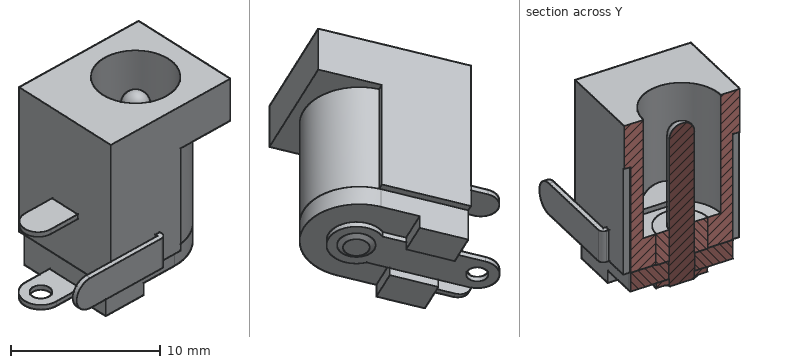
import cadquery as cq
import math


housing_width = 9.0
housing_half = housing_width / 2
housing_height = 12.0
front_y = -6.5
flange_back_y = 4.5
flange_height = 3.5
barrel_back_y = 3.79
shoulder_y = -0.09
bore_radius = 3.0
bore_floor_z = 5.0

base_width = 8.0
base_height = 2.5
foot_height = 1.0
foot_back_y = -3.0
top_z = base_height + housing_height

sheet = 0.4
tip_y = -10.2
lug_width = 2.5

bottom_lug_width = 3.0
bottom_lug_hole_radius = 0.75
eyelet_radius = 2.0

spring_top_z = 7.0
tongue_width = 4.0
tongue_bend_y = -3.23
tongue_tip_y = -2.0
tongue_slope = math.radians(45)

side_outer_x = 5.1
side_back_y = -2.0
side_inner_x = 2.5

pin_radius = 1.0
pin_top_z = 13.23
rivet_radius = 1.3
rivet_flat_radius = 0.9
rivet_height = 0.2
bushing_radius = 2.0


def block(x0, x1, y0, y1, z0, z1):
    """Box between opposite corners."""
    return cq.Workplane("XY").box(x1 - x0, y1 - y0, z1 - z0, centered=False).translate((x0, y0, z0))


def cylinder(radius, z0, z1):
    """Upright cylinder on the pin axis."""
    return cq.Workplane("XY").workplane(offset=z0).circle(radius).extrude(z1 - z0)


def round_backed_block(z0, z1):
    """Block as wide as the base, ending in a half cylinder at the back."""
    radius = base_width / 2
    arc_centre_y = barrel_back_y - radius
    barrel = cylinder(radius, z0, z1).translate((0, arc_centre_y, 0))
    return block(-radius, radius, front_y, arc_centre_y, z0, z1).union(barrel)


def flat_lug(width, back_y, bottom_z):
    """Horizontal sheet strip along Y with a full round at the tip."""
    strip = block(-width / 2, width / 2, tip_y + width / 2, back_y, bottom_z, bottom_z + sheet)
    tip = cylinder(width / 2, bottom_z, bottom_z + sheet).translate((0, tip_y + width / 2, 0))
    return strip.union(tip)


def make_pin():
    """Round-nosed pin whose lower end is riveted under the bottom terminal."""
    rivet_top_z = foot_height - sheet
    shoulder_z = pin_top_z - pin_radius
    nose_mid = pin_radius * math.sqrt(0.5)
    return (
        cq.Workplane("XZ")
        .moveTo(0, rivet_top_z - rivet_height)
        .lineTo(rivet_flat_radius, rivet_top_z - rivet_height)
        .lineTo(rivet_radius, rivet_top_z)
        .lineTo(pin_radius, rivet_top_z)
        .lineTo(pin_radius, shoulder_z)
        .threePointArc((nose_mid, shoulder_z + nose_mid), (0, pin_top_z))
        .close()
        .revolve(360, (0, 0, 0), (0, 1, 0))
    )


def make_bushing():
    """Insulating sleeve around the pin, flush with the bore floor."""
    return cylinder(bushing_radius, base_height, bore_floor_z).cut(cylinder(pin_radius, base_height, bore_floor_z))


def make_bottom_terminal():
    """Eyelet around the pin joined to a drilled solder lug."""
    bottom_z = foot_height - sheet
    lug_hole = cylinder(bottom_lug_hole_radius, bottom_z, foot_height)
    return (
        flat_lug(bottom_lug_width, 0, bottom_z)
        .union(cylinder(eyelet_radius, bottom_z, foot_height))
        .cut(cylinder(pin_radius, bottom_z, foot_height))
        .cut(lug_hole.translate((0, tip_y + bottom_lug_width / 2, 0)))
    )


def make_spring():
    """Solder lug that bends down inside the housing into a wider sloping tongue."""
    drop = (tongue_tip_y - tongue_bend_y) * math.tan(tongue_slope)
    tongue = (
        cq.Workplane("YZ")
        .moveTo(tongue_bend_y, spring_top_z)
        .lineTo(tongue_tip_y, spring_top_z - drop)
        .lineTo(tongue_tip_y, spring_top_z - drop - sheet)
        .lineTo(tongue_bend_y, spring_top_z - sheet)
        .close()
        .extrude(tongue_width / 2, both=True)
    )
    return flat_lug(lug_width, tongue_bend_y, spring_top_z - sheet).union(tongue)


def make_side_terminal():
    """Sheet strip leaving the housing side and bent toward the front."""
    bottom_z = base_height
    inner_x = side_outer_x - sheet
    tip_radius = lug_width / 2
    tip_centre_y = tip_y + tip_radius
    tip = (
        cq.Workplane("YZ")
        .workplane(offset=inner_x)
        .center(tip_centre_y, bottom_z + tip_radius)
        .circle(tip_radius)
        .extrude(sheet)
    )
    sheet_top_z = bottom_z + lug_width
    bend_front_y = side_back_y - sheet
    leg = block(inner_x, side_outer_x, tip_centre_y, bend_front_y, bottom_z, sheet_top_z)
    root = block(side_inner_x, inner_x, bend_front_y, side_back_y, bottom_z, sheet_top_z)
    bend = cylinder(sheet, bottom_z, sheet_top_z).translate((inner_x, bend_front_y, 0))
    bend = bend.intersect(block(inner_x, side_outer_x, bend_front_y, side_back_y, bottom_z, sheet_top_z))
    return leg.union(tip).union(bend).union(root)


def make_base(pin, bottom_terminal):
    """Round-backed base with two front feet and a channel between them."""
    base = round_backed_block(0, base_height)
    base = base.cut(block(-base_width, base_width, foot_back_y, flange_back_y, 0, foot_height))
    channel_half = bottom_lug_width / 2
    base = base.cut(block(-channel_half, channel_half, front_y, foot_back_y, 0, foot_height))
    return base.cut(pin).cut(bottom_terminal)


def make_housing(spring, side_terminal):
    """Square-topped shell with a blind bore and a rounded back."""
    body = block(-housing_half, housing_half, front_y, shoulder_y, base_height, top_z)
    body = body.union(round_backed_block(base_height, top_z))
    flange = block(-housing_half, housing_half, front_y, flange_back_y, top_z - flange_height, top_z)
    body = body.union(flange)
    body = body.cut(cylinder(bore_radius, bore_floor_z, top_z))
    body = body.cut(cylinder(bushing_radius, base_height, bore_floor_z))
    return body.cut(spring).cut(side_terminal)


pin = make_pin()
bushing = make_bushing()
bottom_terminal = make_bottom_terminal()
spring = make_spring()
side_terminal = make_side_terminal()
base = make_base(pin, bottom_terminal)
housing = make_housing(spring, side_terminal)

bodies = [housing, base, pin, bushing, bottom_terminal, spring, side_terminal]
result = cq.Compound.makeCompound([body.val() for body in bodies])